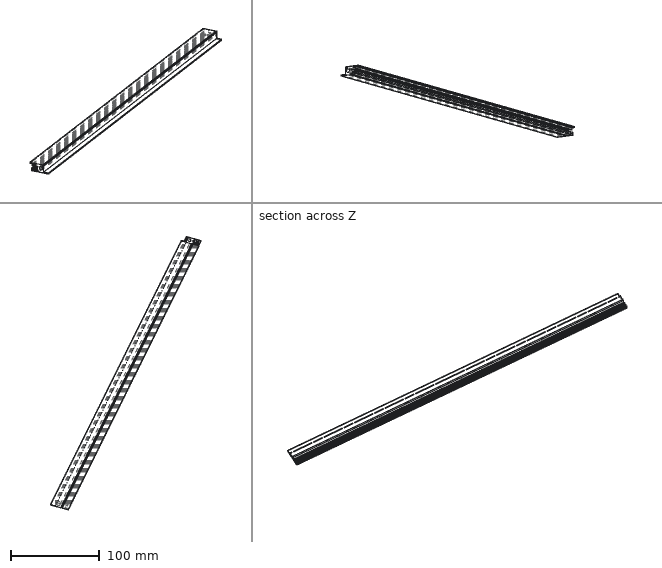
import cadquery as cq

length = 426.7
total_width = 23.5
height = 10.0
plate = 1.3
channel_floor = 1.5
box_right = 17.5
web_left = 10.0
lower_left = 2.0

bore_diameter = 4.0
bore_x = 14.0
bore_z = 5.0

lower_rib_top = 3.5
lower_rib_width = 0.65
lower_rib_pitch = 2.5
lower_rib_count = 3
upper_rib_bottom = 6.5
upper_rib_left = 3.0
upper_rib_width = 1.5
upper_step_left = 7.3

groove_left = 9.5
groove_width = 1.5
groove_depth = 1.0

passage_size = 1.3
passage_wall = 1.0


def bar(left, bottom, right, top):
    """Full-length rectangular bar between two corners of the profile."""
    return (
        cq.Workplane("XY")
        .box(right - left, length, top - bottom, centered=False)
        .translate((left - total_width / 2, -length / 2, bottom - height / 2))
    )


def bore():
    """Round screw channel running the full length."""
    return (
        cq.Workplane("XZ")
        .center(bore_x - total_width / 2, bore_z - height / 2)
        .circle(bore_diameter / 2)
        .extrude(length / 2, both=True)
    )


result = bar(web_left, 0, box_right, height)
result = result.union(bar(0, height - plate, box_right, height))
result = result.union(bar(lower_left, 0, web_left, channel_floor))
result = result.union(bar(web_left, 0, total_width, plate))

for index in range(lower_rib_count):
    rib_left = lower_left + index * lower_rib_pitch
    result = result.union(bar(rib_left, 0, rib_left + lower_rib_width, lower_rib_top))
result = result.union(bar(upper_rib_left, upper_rib_bottom, upper_rib_left + upper_rib_width, height))
result = result.union(bar(upper_step_left, upper_rib_bottom, web_left, height))

passage_right = box_right - passage_wall
passage_top = height - passage_wall
result = result.cut(bore())
result = result.cut(
    bar(passage_right - passage_size, passage_top - passage_size, passage_right, passage_top)
)
result = result.cut(bar(groove_left, 0, groove_left + groove_width, groove_depth))